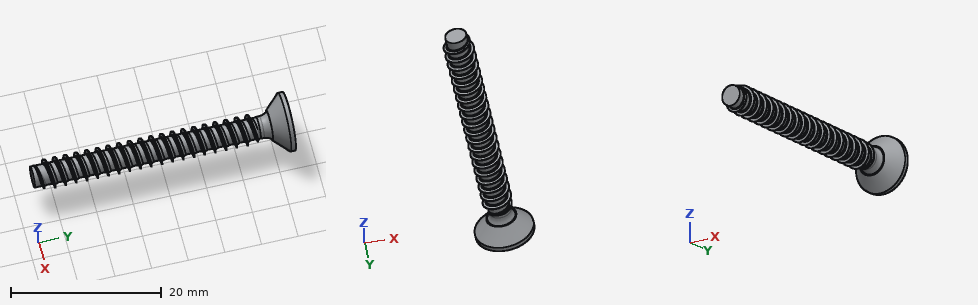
import math

import cadquery as cq


length = 35.0

head_radius = 4.0
rim_depth = 0.65
cone_end_depth = 2.65
cone_end_radius = 2.06

neck_top_radius = 1.9
neck_radius = 1.5
neck_arc_end_depth = 3.75
neck_end_depth = 4.17

core_radius = 1.44

pitch = 1.46
thread_radius = 2.0
crest_half_width = 0.05
ridge_root_radius = 1.58
ridge_root_half_width = 0.13
buried_radius = 1.38
buried_tip_reach = 0.33
buried_head_reach = 0.67

thread_start_depth = 3.98
thread_turns = 21
fade_in_turns = 0.8
fade_out_turns = 1.0
start_height = 0.2
end_height = 0.12
points_per_turn = 20


def make_body():
    """Revolve the head, neck and core about the Y axis."""
    rise = neck_top_radius - neck_radius
    run = neck_arc_end_depth - cone_end_depth
    arc_radius = (rise**2 + run**2) / (2 * rise)
    half_sweep = math.asin(run / arc_radius) / 2
    arc_middle = (
        neck_radius + arc_radius * (1 - math.cos(half_sweep)),
        -neck_arc_end_depth + arc_radius * math.sin(half_sweep),
    )
    return (
        cq.Workplane("XY")
        .moveTo(0, 0)
        .lineTo(head_radius, 0)
        .lineTo(head_radius, -rim_depth)
        .lineTo(cone_end_radius, -cone_end_depth)
        .lineTo(neck_top_radius, -cone_end_depth)
        .threePointArc(arc_middle, (neck_radius, -neck_arc_end_depth))
        .lineTo(neck_radius, -neck_end_depth)
        .lineTo(core_radius, -neck_end_depth)
        .lineTo(core_radius, -length)
        .lineTo(0, -length)
        .close()
        .revolve(360, (0, 0, 0), (0, 1, 0))
    )


def height_at(turn):
    """Thread height at a given turn, as a fraction of the full height."""
    fade_in = start_height + (1 - start_height) * turn / fade_in_turns
    fade_out = end_height + (1 - end_height) * (thread_turns - turn) / fade_out_turns
    return min(1, fade_in, fade_out)


def helix_edge(radius, offset, first_turn):
    """One turn of the helical edge traced by a section corner."""
    points = []
    for step in range(points_per_turn + 1):
        turn = first_turn + step / points_per_turn
        angle = 2 * math.pi * turn
        local_radius = buried_radius + (radius - buried_radius) * height_at(turn)
        points.append(
            cq.Vector(
                -local_radius * math.cos(angle),
                -(thread_start_depth + pitch * turn) + offset,
                -local_radius * math.sin(angle),
            )
        )
    return cq.Edge.makeSpline(points)


def end_cap(edges, end):
    """Flat face closing the thread section at the start (0) or end (1) of the edges."""
    outline = cq.Wire.makePolygon([edge.positionAt(end) for edge in edges], close=True)
    return cq.Face.makeFromWires(outline)


def make_thread():
    """Close ruled helical faces and two flat ends into a thread solid."""
    corners = [
        (buried_radius, -buried_tip_reach),
        (ridge_root_radius, -ridge_root_half_width),
        (thread_radius, -crest_half_width),
        (thread_radius, crest_half_width),
        (ridge_root_radius, ridge_root_half_width),
        (buried_radius, buried_head_reach),
    ]

    turns = []
    for first_turn in range(thread_turns):
        turns.append([helix_edge(radius, offset, first_turn) for radius, offset in corners])

    faces = [end_cap(turns[0], 0), end_cap(turns[-1], 1)]
    for edges in turns:
        for i in range(len(edges)):
            faces.append(cq.Face.makeRuledSurface(edges[i - 1], edges[i]))
    return cq.Workplane(cq.Solid.makeSolid(cq.Shell.makeShell(faces)))


result = make_body().union(make_thread())